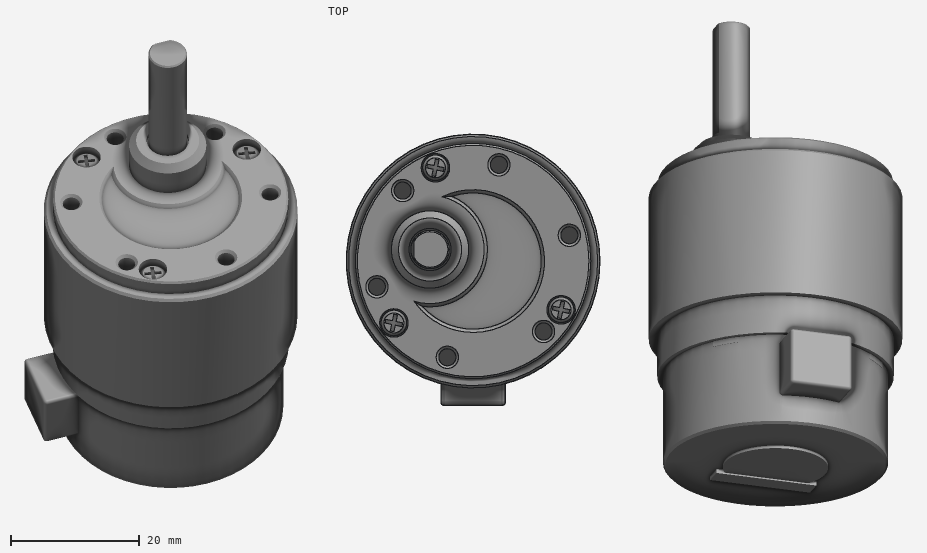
import cadquery as cq
import math

bar_bottom_z = 0
pad_bottom_z = 0.2
can_bottom_z = 0.7
flange_bottom_z = 15.5
body_bottom_z = 21.7
body_top_z = 45.9
cap_top_z = 48.4
boss_top_z = 53.9
shaft_flat_start_z = 55.3
shaft_top_z = 73.75

can_diameter = 35.0
can_chamfer = 0.4
flange_diameter = 36.8
body_diameter = 39.45
body_chamfer = 0.4
cap_diameter = 36.6
cap_chamfer = 0.3

shaft_offset = 6.9
shaft_angle = 165
shaft_diameter = 6.0
shaft_flat_distance = 2.5
shaft_chamfer = 0.2
boss_diameter = 12.0
boss_chamfer = 1.1
boss_bore_diameter = 6.6
boss_bore_depth = 0.75

recess_diameter = 22.2
recess_depth = 0.5
island_diameter = 16.8

mount_circle_radius = 15.5
mount_angles = range(15, 375, 60)
mount_diameter = 2.65
mount_mouth_diameter = 3.5
mount_depth = 5.9

screw_circle_radius = 15.6
screw_angles = (112, 218, 331)
screw_pocket_diameter = 4.4
screw_pocket_depth = 2.2
screw_head_diameter = 4.0
screw_head_sink = 0.9
screw_head_chamfer = 0.45
cross_length = 2.65
cross_width = 0.6
cross_turn = -12
cross_depth = 0.6

tab_width = 4.4
tab_height = 0.9
tab_proud = 0.1
tab_angles = (45, 135, 225, 315)

connector_width = 10.0
connector_bottom_z = 5.3
connector_top_z = 14.45
overall_depth = 42.2
connector_front_y = body_diameter / 2 - overall_depth
connector_root_y = -14.75
connector_fillet = 0.5

pad_diameter = 16.4
bar_near_y = 4.4
bar_far_y = 7.5


def cylinder(diameter, bottom_z, top_z, center=(0, 0)):
    base = cq.Workplane("XY", origin=(center[0], center[1], bottom_z))
    return base.circle(diameter / 2).extrude(top_z - bottom_z)


def cone(bottom_diameter, top_diameter, bottom_z, top_z, center=(0, 0)):
    solid = cq.Solid.makeCone(
        bottom_diameter / 2,
        top_diameter / 2,
        top_z - bottom_z,
        pnt=cq.Vector(center[0], center[1], bottom_z),
    )
    return cq.Workplane(obj=solid)


def polar_point(radius, angle):
    turn = math.radians(angle)
    return (radius * math.cos(turn), radius * math.sin(turn))


def make_housing():
    can = cylinder(can_diameter, can_bottom_z, flange_bottom_z).faces("<Z").chamfer(can_chamfer)
    flange = cylinder(flange_diameter, flange_bottom_z, body_bottom_z)
    body = cylinder(body_diameter, body_bottom_z, body_top_z).faces(">Z").chamfer(body_chamfer)
    cap = cylinder(cap_diameter, body_top_z, cap_top_z).faces(">Z").chamfer(cap_chamfer)
    return can.union(flange).union(body).union(cap)


def make_tabs():
    reach = can_diameter / 2 + tab_proud
    bottom_z = flange_bottom_z - tab_height
    disc = cylinder(2 * reach, bottom_z, flange_bottom_z)
    strips = cq.Workplane("XY")
    for angle in tab_angles:
        strip = (
            cq.Workplane("XY", origin=(0, 0, bottom_z))
            .rect(2 * reach, tab_width)
            .extrude(tab_height)
            .rotate((0, 0, 0), (0, 0, 1), angle)
        )
        strips = strips.union(strip)
    return disc.intersect(strips)


def make_connector():
    block = cq.Workplane("XY").box(
        connector_width,
        connector_root_y - connector_front_y,
        connector_top_z - connector_bottom_z,
        centered=(True, False, False),
    )
    block = block.translate((0, connector_front_y, connector_bottom_z))
    return block.edges("|Y or <Y").fillet(connector_fillet)


def make_bottom_strip(near_y, far_y):
    height = can_bottom_z - bar_bottom_z
    strip = cq.Workplane("XY").box(pad_diameter, far_y - near_y, height, centered=(True, False, False))
    return strip.translate((0, near_y, bar_bottom_z))


def make_bottom_pad():
    """Round pad cut off straight at the far side of a slightly deeper crossbar."""
    pad = cylinder(pad_diameter, pad_bottom_z, can_bottom_z)
    trimmed_pad = pad.intersect(make_bottom_strip(-pad_diameter / 2, bar_far_y))
    return trimmed_pad.union(make_bottom_strip(bar_near_y, bar_far_y))


def make_crescent_recess(shaft_center):
    floor_z = cap_top_z - recess_depth
    slope = 2 * recess_depth
    bowl = cone(recess_diameter - slope, recess_diameter, floor_z, cap_top_z)
    island = cone(island_diameter + slope, island_diameter, floor_z, cap_top_z, shaft_center)
    return bowl.cut(island)


def make_mount_hole(center):
    hole = cylinder(mount_diameter, cap_top_z - mount_depth, cap_top_z, center)
    mouth_depth = (mount_mouth_diameter - mount_diameter) / 2
    mouth = cone(mount_diameter, mount_mouth_diameter, cap_top_z - mouth_depth, cap_top_z, center)
    return hole.union(mouth)


def make_screw_pocket(center):
    """Space left around a sunken screw head, including its cross slot."""
    floor_z = cap_top_z - screw_pocket_depth
    head_top_z = cap_top_z - screw_head_sink
    pocket = cylinder(screw_pocket_diameter, floor_z, cap_top_z, center)
    head = cylinder(screw_head_diameter, floor_z, head_top_z, center).faces(">Z").chamfer(screw_head_chamfer)
    cross_base = cq.Workplane("XY", origin=(center[0], center[1], head_top_z - cross_depth))
    cross_base = cross_base.transformed(rotate=(0, 0, cross_turn))
    cross = cross_base.rect(cross_length, cross_width).extrude(cross_depth)
    cross = cross.union(cross_base.rect(cross_width, cross_length).extrude(cross_depth))
    return pocket.cut(head.cut(cross))


def make_boss(center):
    boss = cylinder(boss_diameter, cap_top_z, boss_top_z, center).faces(">Z").chamfer(boss_chamfer)
    return boss.cut(cylinder(boss_bore_diameter, boss_top_z - boss_bore_depth, boss_top_z, center))


def make_shaft(center):
    shaft = cylinder(shaft_diameter, cap_top_z, shaft_top_z, center).faces(">Z").chamfer(shaft_chamfer)
    flat_cut = (
        cq.Workplane("XY")
        .box(shaft_diameter, shaft_diameter, shaft_top_z - shaft_flat_start_z, centered=(True, True, False))
        .translate((center[0] - shaft_flat_distance - shaft_diameter / 2, center[1], shaft_flat_start_z))
    )
    return shaft.cut(flat_cut)


shaft_center = polar_point(shaft_offset, shaft_angle)

result = make_housing().union(make_tabs()).union(make_connector()).union(make_bottom_pad())
result = result.cut(make_crescent_recess(shaft_center))
for angle in mount_angles:
    result = result.cut(make_mount_hole(polar_point(mount_circle_radius, angle)))
for angle in screw_angles:
    result = result.cut(make_screw_pocket(polar_point(screw_circle_radius, angle)))
result = result.union(make_boss(shaft_center)).union(make_shaft(shaft_center))